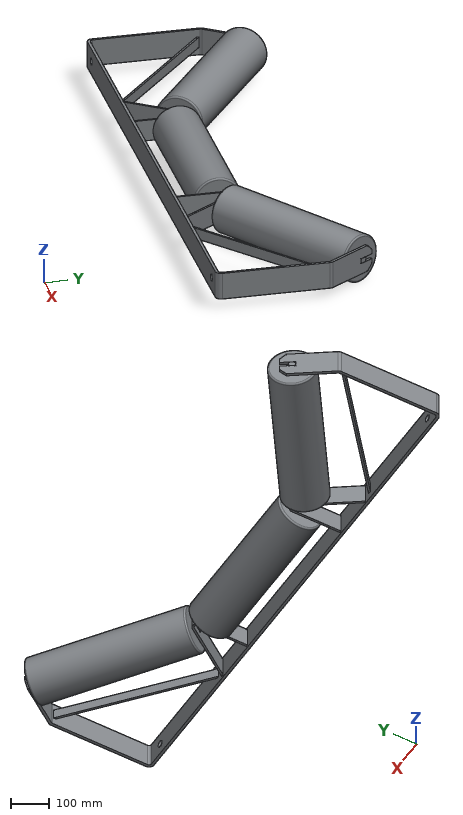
import cadquery as cq
import math


frame_length = 1490.0
trough_angle = 35.0

strip_thickness = 8.0
strip_height = 75.0
frame_bend_radius = 12.0
wall_corner_y = 311.0
flange_length = 158.0
flange_chamfer = 18.0
mounting_hole_diameter = 20.0
mounting_hole_x = 685.0

roller_diameter = 133.0
roller_length = 465.0
roller_edge_fillet = 5.0
middle_roller_y = 125.0
side_roller_x = 472.0
side_roller_y = 274.0

shaft_diameter = 20.0
shaft_flat_width = 14.0
shaft_length = 489.0

support_thickness = 6.0
support_height = 60.0
support_bend_radius = 10.0
support_clearance = 5.0

brace_thickness = 6.0
brace_height = 30.0
brace_wall_y = 304.0
brace_foot_x = 385.0

half_length = frame_length / 2
half_strip = strip_thickness / 2
tilt = math.radians(trough_angle)
axis_dir = cq.Vector(math.cos(tilt), math.sin(tilt), 0)
flange_dir = cq.Vector(-math.sin(tilt), math.cos(tilt), 0)
side_roller_center = cq.Vector(side_roller_x, side_roller_y, 0)
support_offset = roller_length / 2 + support_clearance + support_thickness / 2

point_tolerance = 1.49e-05
slot_reach = 2 * roller_diameter
slot_overrun = 15.0


def bent_strip(path_points, height, thickness, bend_radius):
    """Sweep the strip section along a path with every corner rounded to the bend radius."""
    wire = cq.Wire.makePolygon(path_points)
    ends = (path_points[0], path_points[-1])
    corners = [
        vertex for vertex in wire.Vertices()
        if all((vertex.Center() - end).Length > point_tolerance for end in ends)
    ]
    path = wire.fillet2D(bend_radius, corners)
    section = cq.Plane(path_points[0], xDir=(0, 0, 1), normal=path_points[1] - path_points[0])
    return cq.Workplane(section).rect(height, thickness).sweep(cq.Workplane(path))


def mirrored(body):
    return body.mirror("YZ")


def tilted(body):
    """Move a body modelled about the origin along X to the place of the +X side roller."""
    return body.rotate((0, 0, 0), (0, 0, 1), trough_angle).translate(side_roller_center)


def shaft_slot():
    """Cutter for the open slots at both ends of a shaft that lies along X through the origin."""
    return cq.Workplane("XY").box(
        2 * (support_offset + slot_overrun),
        slot_reach,
        shaft_flat_width,
    ).translate((0, (slot_reach - shaft_diameter) / 2, 0))


def flange_corners(flange_top):
    """Cutter for the two chamfered corners at the tip of the +X side flange."""
    plane = cq.Plane(flange_top, xDir=(0, 0, -1), normal=axis_dir)
    half_height = strip_height / 2
    cutter = cq.Workplane(plane)
    for side in (-1, 1):
        cutter = cutter.polyline([
            (side * half_height, 0),
            (side * (half_height - flange_chamfer), 0),
            (side * half_height, -flange_chamfer),
        ]).close()
    return cutter.extrude(strip_thickness, both=True)


def make_frame():
    base_y = half_strip
    wall_x = half_length - half_strip
    bend_y = wall_corner_y - half_strip * math.tan(tilt / 2)
    flange_top = cq.Vector(wall_x, bend_y, 0) + flange_dir * flange_length
    path_points = [
        cq.Vector(-flange_top.x, flange_top.y, 0),
        cq.Vector(-wall_x, bend_y, 0),
        cq.Vector(-wall_x, base_y, 0),
        cq.Vector(wall_x, base_y, 0),
        cq.Vector(wall_x, bend_y, 0),
        flange_top,
    ]
    frame = bent_strip(path_points, strip_height, strip_thickness, frame_bend_radius)
    holes = (
        cq.Workplane("XZ")
        .pushPoints([(-mounting_hole_x, 0), (mounting_hole_x, 0)])
        .circle(mounting_hole_diameter / 2)
        .extrude(-strip_thickness)
    )
    slot = tilted(shaft_slot())
    corners = flange_corners(flange_top)
    return frame.cut(holes).cut(slot).cut(mirrored(slot)).cut(corners).cut(mirrored(corners))


def make_roller():
    """Roller along X through the origin, with its shaft standing out at both ends."""
    drum = (
        cq.Workplane("YZ", origin=(-roller_length / 2, 0, 0))
        .circle(roller_diameter / 2)
        .extrude(roller_length)
        .edges()
        .fillet(roller_edge_fillet)
    )
    shaft = (
        cq.Workplane("YZ", origin=(-shaft_length / 2, 0, 0))
        .circle(shaft_diameter / 2)
        .extrude(shaft_length)
    )
    flats = cq.Workplane("XY").box(shaft_length, shaft_diameter, shaft_flat_width)
    return drum.union(shaft.intersect(flats))


def make_support():
    """Support on the +X side: an upright leg and a tilted leg joined by a bend at the top."""
    leg_point = side_roller_center - axis_dir * support_offset
    top = leg_point + flange_dir * ((leg_point.x - support_offset) / math.sin(tilt))
    foot = leg_point - flange_dir * (leg_point.y / math.cos(tilt))
    support = bent_strip(
        [cq.Vector(support_offset, 0, 0), top, foot],
        support_height,
        support_thickness,
        support_bend_radius,
    )
    base = cq.Workplane("XY").box(frame_length, 2 * strip_thickness, 2 * strip_height)
    middle_slot = shaft_slot().translate((0, middle_roller_y, 0))
    return support.cut(base).cut(middle_slot).cut(tilted(shaft_slot()))


def make_brace():
    """Brace on the +X side, from the end wall down to the base."""
    wall_inner_x = half_length - strip_thickness
    slope = math.atan2(brace_wall_y - strip_thickness, wall_inner_x - brace_foot_x)
    drop = brace_thickness / math.cos(slope)
    run = brace_thickness / math.sin(slope)
    return (
        cq.Workplane("XY")
        .polyline([
            (brace_foot_x, strip_thickness),
            (wall_inner_x, brace_wall_y),
            (wall_inner_x, brace_wall_y - drop),
            (brace_foot_x + run, strip_thickness),
        ])
        .close()
        .extrude(brace_height / 2, both=True)
    )


frame = make_frame()
roller = make_roller()
middle_roller = roller.translate((0, middle_roller_y, 0))
bodies = [frame.val(), middle_roller.val()]

for side_body in (tilted(roller), make_support(), make_brace()):
    bodies.append(side_body.val())
    bodies.append(mirrored(side_body).val())

result = cq.Compound.makeCompound(bodies)